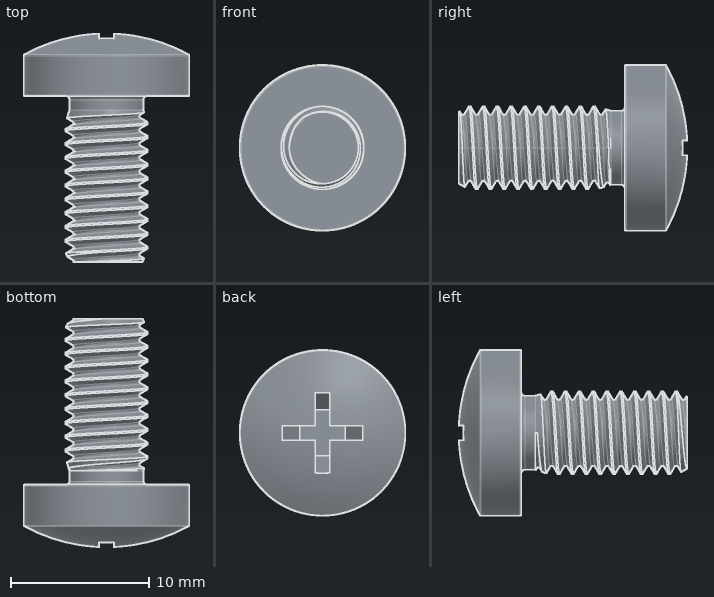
import cadquery as cq
import math


overall_length = 16.54
shank_length = 12.0
head_diameter = 12.0
head_edge_break = 0.1
dome_radius = 12.3

wing_width = 1.06
wing_radius = 2.91
recess_depth = 2.48
recess_bottom_radius = 1.65

neck_diameter = 5.38
neck_fillet = 0.25
major_diameter = 6.0
pitch = major_diameter / 6
neck_length = pitch
runout_length = pitch
thread_angle = 60.0
thread_depth = 0.61 * pitch
crest_flat = pitch / 8
tip_diameter = 5.2
tip_chamfer_angle = 30.0
groove_overcut = 0.03
groove_top = 1.45
fade_turns = 0.5

head_radius = head_diameter / 2
neck_radius = neck_diameter / 2
major_radius = major_diameter / 2
tip_radius = tip_diameter / 2
root_radius = major_radius - thread_depth
tip_chamfer_length = (major_radius - tip_radius) / math.tan(math.radians(tip_chamfer_angle))
flank_angle = math.radians(thread_angle / 2)
flank_slope = math.tan(flank_angle)
root_round = (pitch - crest_flat) / 2 / flank_slope - thread_depth
head_height = overall_length - shank_length

recess_corner_radius = wing_width / math.sqrt(2)
dome_center = head_height - math.sqrt(dome_radius**2 - recess_corner_radius**2)


def dome_height(radius):
    return dome_center + math.sqrt(dome_radius**2 - radius**2)


def make_head():
    """Cylinder with a spherical dome and rounded upper and lower rims."""
    apex = dome_center + dome_radius
    half_radius = head_radius / 2
    head = (
        cq.Workplane("XZ")
        .lineTo(head_radius, 0)
        .lineTo(head_radius, dome_height(head_radius))
        .threePointArc((half_radius, dome_height(half_radius)), (0, apex))
        .close()
        .revolve(360, (0, 0), (0, 1))
    )
    return head.faces("%CYLINDER").edges("%CIRCLE").fillet(head_edge_break)


def make_recess():
    """Two crossing wings whose ends slope inwards below the surface of the dome."""
    rim = dome_height(wing_radius)
    bottom = head_height - recess_depth
    wing = (
        cq.Workplane("XZ")
        .moveTo(-wing_radius, overall_length)
        .lineTo(-wing_radius, rim)
        .lineTo(-recess_bottom_radius, bottom)
        .lineTo(recess_bottom_radius, bottom)
        .lineTo(wing_radius, rim)
        .lineTo(wing_radius, overall_length)
        .close()
        .extrude(wing_width / 2, both=True)
    )
    return wing.union(wing.rotate((0, 0, 0), (0, 0, 1), 90))


def make_neck():
    """Plain neck that flares into the bearing face with a fillet."""
    arc_offset = neck_fillet * (1 - math.sqrt(0.5))
    return (
        cq.Workplane("XZ")
        .lineTo(neck_radius + neck_fillet, 0)
        .threePointArc((neck_radius + arc_offset, -arc_offset), (neck_radius, -neck_fillet))
        .lineTo(neck_radius, -neck_length)
        .lineTo(0, -neck_length)
        .close()
        .revolve(360, (0, 0), (0, 1))
    )


def make_thread_blank():
    """Rod that widens from the neck to the major diameter and is chamfered at the tip."""
    return (
        cq.Workplane("XZ")
        .moveTo(0, -neck_length)
        .lineTo(neck_radius, -neck_length)
        .lineTo(major_radius, -neck_length - runout_length)
        .lineTo(major_radius, tip_chamfer_length - shank_length)
        .lineTo(tip_radius, -shank_length)
        .lineTo(0, -shank_length)
        .close()
        .revolve(360, (0, 0), (0, 1))
    )


def sweep_groove(path, start):
    """Sweep the round-bottomed groove profile along a helix that leaves the +X axis at height `start`."""
    outer_radius = major_radius + groove_overcut
    outer_half = (pitch - crest_flat) / 2 + groove_overcut * flank_slope
    tangent_radius = root_radius + root_round * (1 - math.sin(flank_angle))
    tangent_half = root_round * math.cos(flank_angle)
    return (
        cq.Workplane("XZ")
        .moveTo(outer_radius, start - outer_half)
        .lineTo(tangent_radius, start - tangent_half)
        .threePointArc((root_radius, start), (tangent_radius, start + tangent_half))
        .lineTo(outer_radius, start + outer_half)
        .close()
        .sweep(cq.Workplane(path), isFrenet=True)
    )


def cut_thread_groove(rod):
    """Cut the full-depth right-handed groove turn by turn, down from the fade and out through the tip."""
    start = -groove_top - pitch
    path = cq.Wire.makeHelix(pitch, pitch, root_radius, cq.Vector(0, 0, start))
    one_turn = sweep_groove(path, start)
    turns = math.ceil((shank_length - groove_top) / pitch)
    for turn in range(turns):
        rod = rod.cut(one_turn.translate((0, 0, -turn * pitch)))
    return rod


def make_groove_fade():
    """Last stretch of the groove, rising on a conical helix until its root reaches the neck radius."""
    rise = fade_turns * pitch
    cone_angle = math.degrees(math.atan((neck_radius - root_radius) / rise))
    start = -groove_top
    path = cq.Wire.makeHelix(pitch, rise, root_radius, cq.Vector(0, 0, start), angle=cone_angle)
    return sweep_groove(path, start)


threaded_rod = cut_thread_groove(make_thread_blank()).cut(make_groove_fade())
screw = make_head().cut(make_recess()).union(make_neck()).union(threaded_rod)
result = screw.rotate((0, 0, 0), (1, 0, 0), -90)